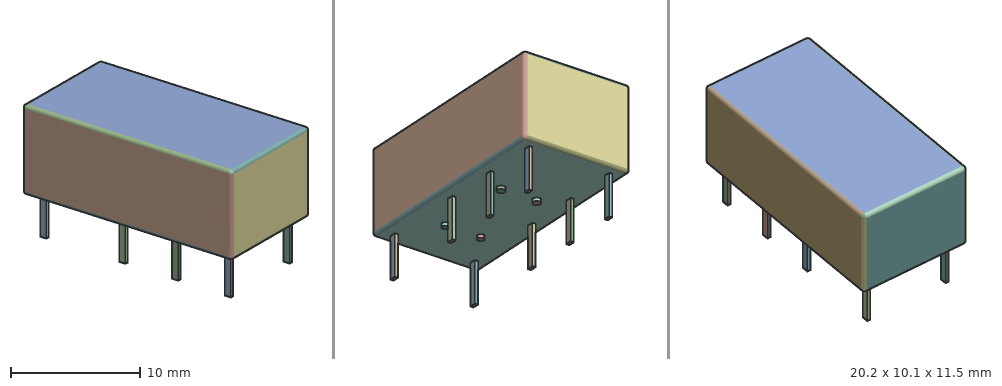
import cadquery as cq

HOUSING_LENGTH = 20.2
HOUSING_WIDTH = 10.1
HOUSING_HEIGHT = 7.7
EDGE_RADIUS = 0.3

LAYOUT_CENTER_X = -0.02
LAYOUT_CENTER_Y = 0.05

PIN_SPAN = 17.78
PIN_GRID_STEPS = (0, 3, 5, 7)
PIN_PITCH = PIN_SPAN / PIN_GRID_STEPS[-1]
PIN_ROW_SPACING = 3 * PIN_PITCH
PIN_WIDTH = 0.6
PIN_THICKNESS = 0.3
PIN_LENGTH = 3.8

SLIM_STANDOFF_DIAMETER = 0.6
SLIM_STANDOFF_X = -5.1
WIDE_STANDOFF_DIAMETER = 0.7
WIDE_STANDOFF_X = 2.3
STANDOFF_SPACING_Y = 3.4
STANDOFF_HEIGHT = 0.3


def make_housing():
    block = cq.Workplane("XY").box(
        HOUSING_LENGTH, HOUSING_WIDTH, HOUSING_HEIGHT, centered=(True, True, False)
    )
    return block.edges().fillet(EDGE_RADIUS)


def make_pins():
    first_pin_x = LAYOUT_CENTER_X - PIN_SPAN / 2
    centers = [
        (first_pin_x + step * PIN_PITCH, LAYOUT_CENTER_Y + side * PIN_ROW_SPACING / 2)
        for step in PIN_GRID_STEPS
        for side in (-1, 1)
    ]
    return cq.Workplane("XY").pushPoints(centers).rect(PIN_WIDTH, PIN_THICKNESS).extrude(-PIN_LENGTH)


def make_standoff_pair(center_x, diameter):
    centers = [(center_x, LAYOUT_CENTER_Y + side * STANDOFF_SPACING_Y / 2) for side in (-1, 1)]
    return cq.Workplane("XY").pushPoints(centers).circle(diameter / 2).extrude(-STANDOFF_HEIGHT)


result = (
    make_housing()
    .union(make_pins())
    .union(make_standoff_pair(SLIM_STANDOFF_X, SLIM_STANDOFF_DIAMETER))
    .union(make_standoff_pair(WIDE_STANDOFF_X, WIDE_STANDOFF_DIAMETER))
)